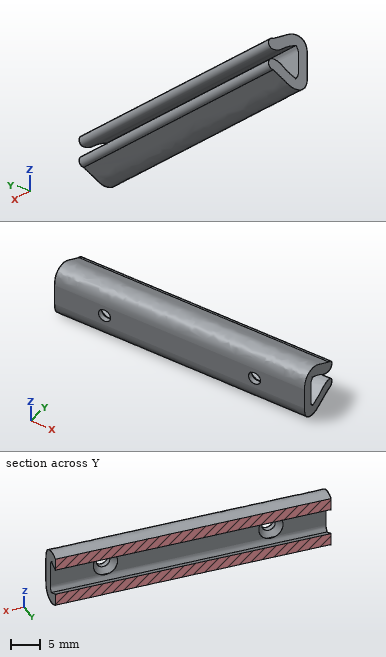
import cadquery as cq
import math

length = 50.0
depth = 8.46
height = 10.09
wall = 2.0
flat_height = 4.08
crest_y = 2.7
arm_angle = 29.0
arm_middle_y = 5.4
arm_middle_z = 3.98
inner_corner_y = 2.48
inner_corner_z = 3.07
lip_gap = 1.8
hole_diameter = 2.4
hole_spacing = 30.0
hole_neck = 1.0
countersink_diameter = 4.4

lip_radius = wall / 2
lip_y = depth - lip_radius
lip_z = lip_gap / 2 + lip_radius
flat_top_z = flat_height / 2
crest_z = height / 2
arm_cos = math.cos(math.radians(arm_angle))
arm_sin = math.sin(math.radians(arm_angle))

UP = (0, 1)
DOWN = (0, -1)
TOWARDS_LIP = (1, 0)
TOWARDS_WALL = (-1, 0)
DOWN_THE_ARM = (arm_cos, -arm_sin)
UP_THE_ARM = (-arm_cos, arm_sin)
INTO_CORNER = (-3, 1)
OUT_OF_CORNER = (-1, -2)


def upper_half_section():
    """Half of the clip section above the symmetry plane: back wall, bend, arm and round lip."""
    crest = (crest_y, crest_z)
    outer_middle = (arm_middle_y, arm_middle_z)
    inner_middle = (arm_middle_y - wall * arm_sin, arm_middle_z - wall * arm_cos)
    inner_corner = (inner_corner_y, inner_corner_z)
    lip_top = (lip_y, lip_z + lip_radius)
    lip_end = (depth, lip_z)
    lip_bottom = (lip_y, lip_z - lip_radius)
    return (
        cq.Workplane("YZ")
        .lineTo(0, flat_top_z)
        .spline(
            [crest, outer_middle, lip_top],
            tangents=[UP, TOWARDS_LIP, DOWN_THE_ARM, DOWN_THE_ARM],
            includeCurrent=True,
        )
        .threePointArc(lip_end, lip_bottom)
        .spline(
            [inner_middle, inner_corner],
            tangents=[TOWARDS_WALL, UP_THE_ARM, INTO_CORNER],
            includeCurrent=True,
        )
        .spline([(wall, flat_top_z)], tangents=[OUT_OF_CORNER, DOWN], includeCurrent=True)
        .lineTo(wall, 0)
        .close()
    )


def clip_body():
    """The half section extruded along X and mirrored about the symmetry plane."""
    upper_half = upper_half_section().extrude(length)
    return upper_half.union(upper_half.mirror("XY"))


def mounting_hole(x):
    """A hole through the back wall, countersunk from the inside of the clip."""
    neck_radius = hole_diameter / 2
    half_profile = [
        (0, 0),
        (neck_radius, 0),
        (neck_radius, hole_neck),
        (countersink_diameter / 2, wall),
        (0, wall),
    ]
    cutter = cq.Workplane("XY").polyline(half_profile).close().revolve(360, (0, 0), (0, 1))
    return cutter.translate((x, 0, 0))


result = clip_body()
for side in (-1, 1):
    result = result.cut(mounting_hole(length / 2 + side * hole_spacing / 2))